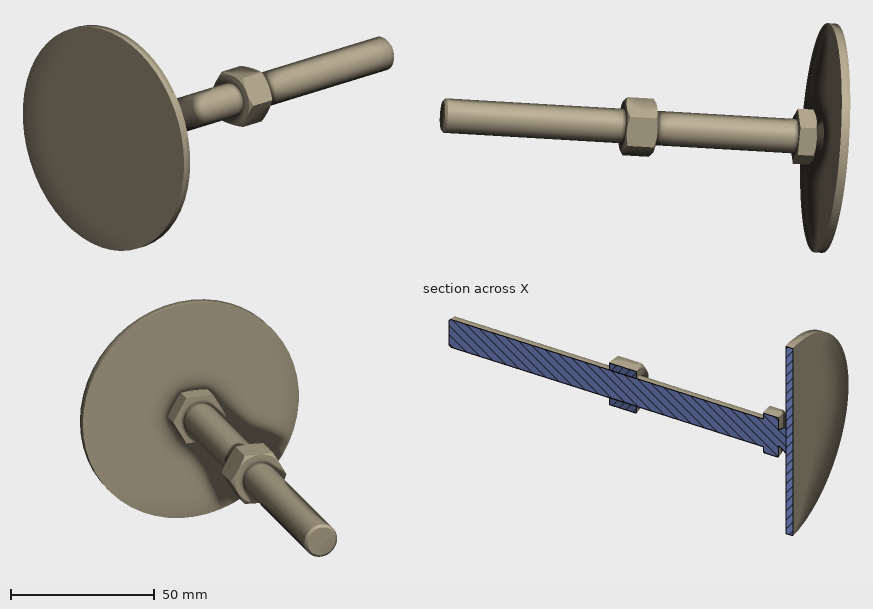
import cadquery as cq
import math

TOTAL_LENGTH = 137.0

PLATE_DIAMETER = 80.0
PLATE_THICKNESS = 3.0

ROD_DIAMETER = 12.0
ROD_END_CHAMFER = 0.8

FOOT_BASE_DIAMETER = 11.5
FOOT_NECK_DIAMETER = 6.7

COLLAR_START = 5.9
COLLAR_THICKNESS = 6.2
COLLAR_ACROSS_FLATS = 17.0

NUT_START = 62.3
NUT_THICKNESS = 10.8
NUT_ACROSS_FLATS = 18.0

HEX_CHAMFER_ANGLE = 30.0


def cylinder(diameter, start, length):
    """Cylinder about the Y axis, growing toward +Y from the given start."""
    base = cq.Workplane("XZ", origin=(0, start, 0))
    return base.circle(diameter / 2).extrude(-length)


def hexagon(across_flats, start, thickness, chamfer_far_end):
    """Hexagonal prism with corners on X and conical chamfers at its ends."""
    flat_radius = across_flats / 2
    corner_radius = flat_radius / math.cos(math.pi / 6)
    chamfer_height = (corner_radius - flat_radius) * math.tan(math.radians(HEX_CHAMFER_ANGLE))
    end = start + thickness

    base = cq.Workplane("XZ", origin=(0, start, 0))
    prism = base.polygon(6, 2 * corner_radius).extrude(-thickness)

    profile = [(0, start), (flat_radius, start), (corner_radius, start + chamfer_height)]
    if chamfer_far_end:
        profile += [(corner_radius, end - chamfer_height), (flat_radius, end)]
    else:
        profile += [(corner_radius, end)]
    profile += [(0, end)]
    envelope = cq.Workplane("XY").polyline(profile).close().revolve(360, (0, 0), (0, 1))
    return prism.intersect(envelope)


def make_plate():
    """Plain round base plate."""
    return cylinder(PLATE_DIAMETER, 0, PLATE_THICKNESS)


def make_spindle():
    """Rod with a hexagonal collar and a conical foot standing on the plate."""
    rod_start = COLLAR_START + COLLAR_THICKNESS
    rod = cylinder(ROD_DIAMETER, rod_start, TOTAL_LENGTH - rod_start)
    rod = rod.faces(">Y").chamfer(ROD_END_CHAMFER)

    collar = hexagon(COLLAR_ACROSS_FLATS, COLLAR_START, COLLAR_THICKNESS, chamfer_far_end=False)

    foot_profile = [
        (0, PLATE_THICKNESS),
        (FOOT_BASE_DIAMETER / 2, PLATE_THICKNESS),
        (FOOT_NECK_DIAMETER / 2, COLLAR_START),
        (0, COLLAR_START),
    ]
    foot = cq.Workplane("XY").polyline(foot_profile).close().revolve(360, (0, 0), (0, 1))
    return rod.union(collar).union(foot)


def make_nut():
    """Hexagonal lock nut, chamfered at both ends and bored to fit the rod."""
    blank = hexagon(NUT_ACROSS_FLATS, NUT_START, NUT_THICKNESS, chamfer_far_end=True)
    return blank.cut(cylinder(ROD_DIAMETER, NUT_START, NUT_THICKNESS))


plate = make_plate()
spindle = make_spindle()
nut = make_nut()

result = cq.Compound.makeCompound([plate.val(), spindle.solids().val(), nut.solids().val()])